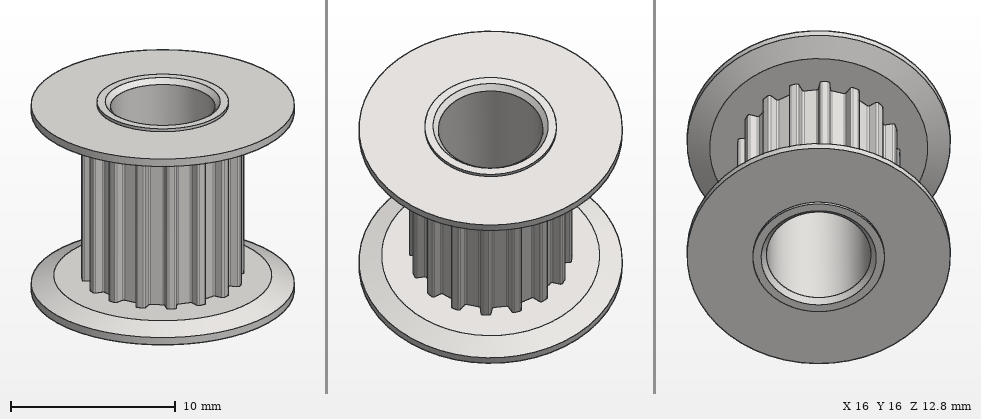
import cadquery as cq
import math

overall_height = 12.8
flange_diameter = 16.0
flange_rim_height = 0.5
flange_cone_height = 0.5
flange_inner_face_diameter = 13.25
hub_diameter = 8.0
hub_projection = 0.2
bore_diameter = 6.35
bore_chamfer = 0.32

tooth_count = 16
toothed_diameter = 9.87
groove_floor_radius = 4.29
groove_floor_width = 0.93
groove_wall_angle = 20.0
root_fillet = 0.13
tip_fillet = 0.13
cutter_overrun = 0.32

half_height = overall_height / 2
flange_outer_level = half_height - hub_projection
flange_rim_level = flange_outer_level - flange_rim_height
flange_inner_level = flange_rim_level - flange_cone_height
toothed_length = 2 * flange_inner_level


def make_toothed_core():
    """Cylinder with straight-walled grooves, one of them centred on +X."""
    core = cq.Workplane("XY").circle(toothed_diameter / 2).extrude(toothed_length)

    cutter_radius = toothed_diameter / 2 + cutter_overrun
    cutter_depth = cutter_radius - groove_floor_radius
    floor_half = groove_floor_width / 2
    mouth_half = floor_half + cutter_depth * math.tan(math.radians(groove_wall_angle))
    groove = (
        cq.Workplane("XY")
        .moveTo(groove_floor_radius, -floor_half)
        .lineTo(cutter_radius, -mouth_half)
        .lineTo(cutter_radius, mouth_half)
        .lineTo(groove_floor_radius, floor_half)
        .close()
        .extrude(toothed_length)
        .edges("|Z and <X")
        .fillet(root_fillet)
    )
    for index in range(tooth_count):
        core = core.cut(groove.rotate((0, 0, 0), (0, 0, 1), index * 360 / tooth_count))

    tip_edges = [
        edge
        for edge in core.edges("|Z").vals()
        if math.hypot(edge.Center().x, edge.Center().y) > toothed_diameter / 2 - tip_fillet
    ]
    core = core.newObject(tip_edges).fillet(tip_fillet)
    return core.translate((0, 0, -flange_inner_level))


def make_upper_end():
    """Upper flange with its conical inner side and the raised hub ring."""
    profile = [
        (0, flange_inner_level),
        (flange_inner_face_diameter / 2, flange_inner_level),
        (flange_diameter / 2, flange_rim_level),
        (flange_diameter / 2, flange_outer_level),
        (hub_diameter / 2, flange_outer_level),
        (hub_diameter / 2, half_height),
        (0, half_height),
    ]
    return cq.Workplane("XZ").polyline(profile).close().revolve(360, (0, 0, 0), (0, 1, 0))


def make_bore():
    """Through bore, widened by a chamfer at both ends."""
    bore_radius = bore_diameter / 2
    mouth_radius = bore_radius + bore_chamfer
    chamfer_level = half_height - bore_chamfer
    profile = [
        (0, -half_height),
        (mouth_radius, -half_height),
        (bore_radius, -chamfer_level),
        (bore_radius, chamfer_level),
        (mouth_radius, half_height),
        (0, half_height),
    ]
    return cq.Workplane("XZ").polyline(profile).close().revolve(360, (0, 0, 0), (0, 1, 0))


upper_end = make_upper_end()
lower_end = upper_end.mirror("XY")
result = make_toothed_core().union(upper_end).union(lower_end).cut(make_bore())